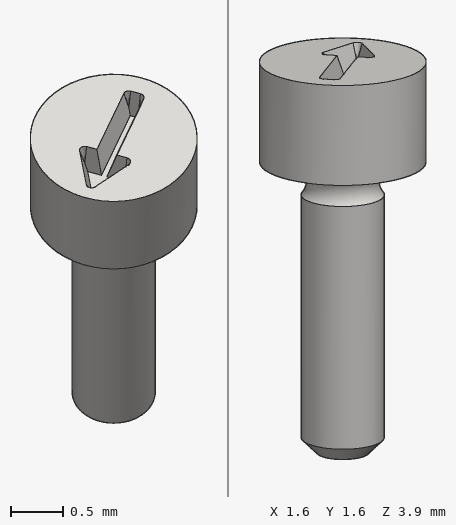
import cadquery as cq
import math

total_length = 3.9
head_diameter = 1.6
head_height = 1.0
shank_diameter = 0.8
tip_chamfer = 0.15

undercut_radius = 0.2
neck_radius = 0.35

arrow_depth = 0.273
arrow_wall_angle = 15.0
arrow_shaft_width = 0.055
arrow_tail_y = 0.535
arrow_barb_y = -0.265
arrow_tip_y = -0.57
arrow_head_width = 0.335
arrow_corner_radius = 0.05

head_radius = head_diameter / 2
shank_radius = shank_diameter / 2
head_bottom_z = total_length - head_height


def make_pin():
    """Revolve the half profile of head, undercut neck and chamfered shank."""
    center_r = neck_radius + undercut_radius
    center_z = head_bottom_z - undercut_radius
    shank_top_z = center_z - math.sqrt(undercut_radius**2 - (center_r - shank_radius) ** 2)
    return (
        cq.Workplane("XZ")
        .lineTo(shank_radius - tip_chamfer, 0)
        .lineTo(shank_radius, tip_chamfer)
        .lineTo(shank_radius, shank_top_z)
        .threePointArc((neck_radius, center_z), (center_r, head_bottom_z))
        .lineTo(head_radius, head_bottom_z)
        .lineTo(head_radius, total_length)
        .lineTo(0, total_length)
        .close()
        .revolve(360, (0, 0, 0), (0, 1, 0))
    )


def make_arrow_cutter():
    """Arrow pointing to -Y: sharp corners by the floor, conical corners opening to the top face."""
    shaft_x = arrow_shaft_width / 2
    barb_x = arrow_head_width / 2
    wall_slope = math.tan(math.radians(arrow_wall_angle))
    cone_height = arrow_corner_radius / wall_slope
    sharp_height = arrow_depth - cone_height
    floor_z = total_length - arrow_depth
    floor_outline = cq.Wire.makePolygon(
        [
            cq.Vector(shaft_x, arrow_tail_y, floor_z),
            cq.Vector(-shaft_x, arrow_tail_y, floor_z),
            cq.Vector(-shaft_x, arrow_barb_y, floor_z),
            cq.Vector(-barb_x, arrow_barb_y, floor_z),
            cq.Vector(0, arrow_tip_y, floor_z),
            cq.Vector(barb_x, arrow_barb_y, floor_z),
            cq.Vector(shaft_x, arrow_barb_y, floor_z),
        ],
        close=True,
    )
    widened_outline = floor_outline.offset2D(sharp_height * wall_slope, "intersection")[0]
    cone_base_outline = widened_outline.moved(cq.Location(cq.Vector(0, 0, sharp_height)))
    sharp_part = cq.Solid.makeLoft([floor_outline, cone_base_outline], True)
    conical_part = (
        cq.Workplane("XY", origin=(0, 0, floor_z + sharp_height))
        .add(cone_base_outline)
        .toPending()
        .extrude(cone_height, taper=-arrow_wall_angle)
    )
    return conical_part.union(cq.Workplane(sharp_part))


result = make_pin().cut(make_arrow_cutter())